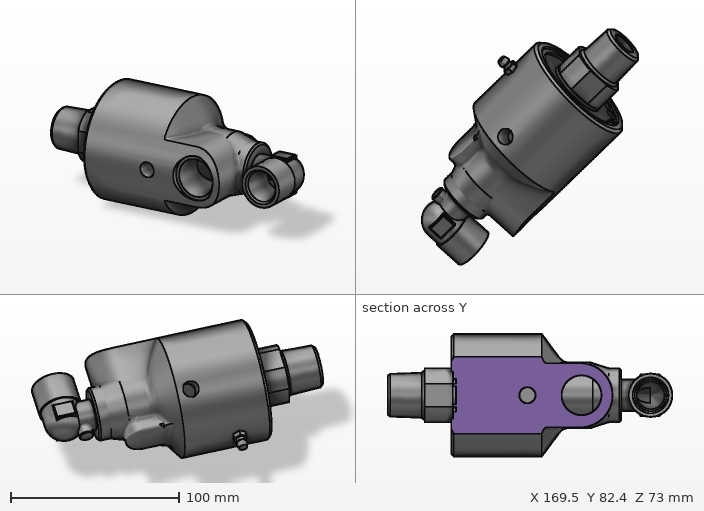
import cadquery as cq


body_start = 37.8
body_end = 91.7
body_diameter = 73.0
body_radius = body_diameter / 2
body_chamfer = 1.7
beyond_body = body_radius + 1.7
boss_root_x = body_end - 1.7

cone_end = 104.3
neck_radius = 19.7
neck_end = 120.7
collar_start = 131.7
collar_radius = 16.1
collar_end = 139.0
collar_chamfer = 1.2
cone_fillet = 5.8

stem_tip_radius = 11.5
stem_tip_chamfer = 1.7
stem_start_radius = 12.9
stem_end_radius = 13.5
stem_end = 20.3
shank_start = 22.0
shank_base_radius = 15.0
shank_radius = 17.5
shank_collar_radius = 17.6
shank_across_flats = 32.2
flats_end = 38.7
stem_bore_diameter = 13.9
stem_bore_chamfer = 0.3

recess_mouth_radius = 31.7
recess_floor = 40.7
ring_face = 39.0
ring_outer_radius = 31.2
ring_inner_radius = 28.1
lug_radius = 3.2
lug_offset_y = 28.3
lug_offset_z = 8.3
lug_hole_diameter = 2.7

weep_hole_x = 83.2
weep_hole_diameter = 9.5
weep_hole_depth = 17.0
weep_hole_count = 3

port_x = 114.8
port_boss_radius = 19.2
port_boss_fillet = 2.4
port_hole_x = 115.5
spotface_diameter = 27.8
spotface_plane = 33.0
port_diameter = 23.5
rotor_radius = 12.9
rotor_end = 122.0
rotor_tip_radius = 11.9
rear_boss_radius = 10.2
rear_boss_height = 25.6
rear_boss_fillet = 4.7
rear_boss_edge = 1.9
rim_land = 0.02
rear_boss_edge_start = 101.7

grease_x = 58.3
overall_depth = 82.4
grease_tip = overall_depth - body_radius
grease_hex_corners = 8.6
grease_hex_top = 39.5
grease_hex_length = 3.4
grease_tip_radius = 2.5
grease_head_radius = 3.2
grease_neck_radius = 2.7
grease_taper_length = 2.5
grease_band_length = 1.0
grease_shoulder_length = 0.7

pipe_diameter = 19.0
overall_length = 169.5
socket_diameter = 26.0
elbow_x = overall_length - socket_diameter / 2
elbow_radius = 12.0
socket_start = 8.3
socket_end = 26.1
socket_mouth_diameter = 21.4
socket_bore_diameter = 19.0
socket_floor_diameter = 16.6
socket_bore_floor = 5.1
cross_bore_diameter = 10.7
cross_bore_gap = 0.2
pad_length = 12.4
pad_width = 9.8
pad_x = elbow_x - 0.3
pad_height = 12.4
pad_chamfer = 0.7
stud_x = 146.3
stud_diameter = 8.6
stud_top = 14.2
stud_chamfer = 0.5
stud_fillet = 1.5


select_margin = 0.2


def x_cylinder(radius, start, end):
    return cq.Workplane("YZ").workplane(offset=start).circle(radius).extrude(end - start)


def y_cylinder(radius, x, start, end):
    return cq.Workplane("XZ", origin=(x, start, 0)).circle(radius).extrude(start - end)


def revolve_about_x(points):
    """Turn (X, radius) points about the X axis."""
    return cq.Workplane("XY").polyline(points).close().revolve(360, (0, 0, 0), (1, 0, 0))


def revolve_about_y(center_x, points):
    """Turn (radius, Y) points about the line through center_x parallel to Y."""
    profile = cq.Workplane("XY").polyline(points).close()
    return profile.revolve(360, (0, 0, 0), (0, 1, 0)).translate((center_x, 0, 0))


def make_stadium(radius, start_y, end_y, start_x=boss_root_x):
    """Bar running in X from inside the body to a round end about the port axis."""
    return (
        cq.Workplane("XZ", origin=(0, start_y, 0))
        .moveTo(start_x, -radius)
        .lineTo(port_x, -radius)
        .threePointArc((port_x + radius, 0), (port_x, radius))
        .lineTo(start_x, radius)
        .close()
        .extrude(start_y - end_y)
    )


def make_housing():
    housing = revolve_about_x([
        (body_start, 0),
        (body_start, body_radius - body_chamfer),
        (body_start + body_chamfer, body_radius),
        (body_end, body_radius),
        (cone_end, neck_radius),
        (neck_end, neck_radius),
        (collar_start, collar_radius),
        (collar_end - collar_chamfer, collar_radius),
        (collar_end, collar_radius - collar_chamfer),
        (collar_end, 0),
    ])
    at_neck = cq.selectors.BoxSelector(
        (cone_end - select_margin, -body_radius, -body_radius),
        (cone_end + select_margin, body_radius, body_radius),
    )
    housing = housing.edges(at_neck).fillet(cone_fillet)

    port_boss = make_stadium(port_boss_radius, 0, -beyond_body)
    port_boss = port_boss.intersect(x_cylinder(body_radius, body_start, collar_end))
    housing = housing.union(port_boss)

    port_root = cq.selectors.BoxSelector(
        (body_end + select_margin, -spotface_plane + port_boss_fillet, -neck_radius),
        (collar_end, -select_margin, neck_radius),
    )
    housing = housing.edges(port_root).edges("not |Y").fillet(port_boss_fillet)

    rear_boss = make_stadium(rear_boss_radius, rear_boss_height, 0)
    housing = housing.union(rear_boss)
    rear_root_sides = cq.selectors.BoxSelector(
        (body_end + select_margin, rear_boss_radius + rear_boss_fillet, -neck_radius),
        (collar_start, rear_boss_height - select_margin, neck_radius),
    )
    rear_root_top = cq.selectors.BoxSelector(
        (body_end + select_margin, rear_boss_height - select_margin, -select_margin),
        (cone_end, rear_boss_height + select_margin, select_margin),
    )
    rear_root = housing.edges(rear_root_sides).edges("not |Y").add(housing.edges(rear_root_top))
    housing = rear_root.fillet(rear_boss_fillet)
    return housing.cut(make_rear_rim_waste())


def make_rear_rim_waste():
    """Material outside the rounded rim on top of the rear boss."""
    rim_bottom = rear_boss_height - rear_boss_edge
    plate = make_stadium(rear_boss_radius, rear_boss_height, rim_bottom, rear_boss_edge_start)
    rim = plate.faces(">Y").edges("not |Z").fillet(rear_boss_edge - rim_land)
    return plate.cut(rim)


def make_stem():
    stem = revolve_about_x([
        (0, 0),
        (0, stem_tip_radius),
        (stem_tip_chamfer, stem_start_radius),
        (stem_end, stem_end_radius),
        (shank_start, shank_base_radius),
        (shank_start, 0),
    ])
    shank = x_cylinder(shank_radius, shank_start, flats_end)
    shank_collar = x_cylinder(shank_collar_radius, flats_end, recess_floor)
    flats = cq.Workplane("YZ", origin=(shank_start, 0, 0))
    flats = flats.rect(body_diameter, body_diameter)
    flats = flats.rect(shank_across_flats, shank_across_flats).extrude(flats_end - shank_start)
    return stem.union(shank.cut(flats)).union(shank_collar)


def make_snap_ring():
    """Open retaining ring with two drilled lugs beside its gap on the -Y side."""
    thickness = recess_floor - ring_face
    ring = cq.Workplane("YZ", origin=(ring_face, 0, 0))
    ring = ring.circle(ring_outer_radius).circle(ring_inner_radius).extrude(thickness)
    gap_height = 2 * lug_offset_z
    gap = cq.Workplane("YZ", origin=(ring_face, -ring_outer_radius, 0))
    gap = gap.rect(ring_outer_radius, gap_height).extrude(thickness)
    ring = ring.cut(gap)
    lug_spots = [(-lug_offset_y, side * lug_offset_z) for side in (-1, 1)]
    lugs = cq.Workplane("YZ", origin=(ring_face, 0, 0)).pushPoints(lug_spots)
    lugs = lugs.circle(lug_radius).extrude(thickness)
    lug_tips = cq.Workplane("YZ", origin=(ring_face, 0, 0))
    lug_tips = lug_tips.pushPoints([(y - lug_radius / 2, z) for y, z in lug_spots])
    lug_tips = lug_tips.rect(lug_radius, 2 * lug_radius).extrude(thickness)
    lugs = lugs.union(lug_tips).intersect(x_cylinder(ring_outer_radius, ring_face, recess_floor))
    holes = cq.Workplane("YZ", origin=(ring_face, 0, 0)).pushPoints(lug_spots)
    holes = holes.circle(lug_hole_diameter / 2).extrude(thickness)
    return ring.union(lugs).cut(holes)


def make_weep_holes():
    """Radial blind holes spaced evenly about the X axis, the first on the -Y side."""
    hole = y_cylinder(weep_hole_diameter / 2, weep_hole_x, -beyond_body, weep_hole_depth - body_radius)
    holes = cq.Workplane("XY")
    for index in range(weep_hole_count):
        turn = index * 360 / weep_hole_count
        holes = holes.add(hole.rotate((0, 0, 0), (1, 0, 0), turn))
    return holes.combine()


def make_port_cut():
    """Port bored to the X axis with the round end of the rotor standing across it."""
    spotface = y_cylinder(spotface_diameter / 2, port_hole_x, -beyond_body, -spotface_plane)
    bore = y_cylinder(port_diameter / 2, port_hole_x, -spotface_plane, 0)
    rotor = x_cylinder(rotor_radius, body_end, rotor_end)
    rotor_tip = x_cylinder(rotor_tip_radius, rotor_end, collar_start)
    return spotface.union(bore.cut(rotor).cut(rotor_tip))


def make_grease_nipple():
    hexagon = cq.Workplane("XZ", origin=(grease_x, grease_hex_top, 0)).transformed(rotate=(0, 0, 90))
    hexagon = hexagon.polygon(6, grease_hex_corners).extrude(grease_hex_length)
    band_top = grease_tip - grease_taper_length
    band_bottom = band_top - grease_band_length
    neck_top = band_bottom - grease_shoulder_length
    head = revolve_about_y(grease_x, [
        (0, grease_tip),
        (grease_tip_radius, grease_tip),
        (grease_head_radius, band_top),
        (grease_head_radius, band_bottom),
        (grease_neck_radius, neck_top),
        (grease_neck_radius, grease_hex_top),
        (0, grease_hex_top),
    ])
    return hexagon.union(head)


def make_elbow():
    pipe = x_cylinder(pipe_diameter / 2, collar_start, elbow_x)
    ball = cq.Workplane("XY").sphere(elbow_radius).translate((elbow_x, 0, 0))
    barrel = y_cylinder(elbow_radius, elbow_x, 0, -socket_start)
    socket = y_cylinder(socket_diameter / 2, elbow_x, -socket_end, -socket_start)
    stud = y_cylinder(stud_diameter / 2, stud_x, 0, stud_top).faces(">Y").chamfer(stud_chamfer)
    pads = cq.Workplane("XY", origin=(pad_x, 0, 0)).box(pad_length, pad_width, 2 * pad_height)
    pads = pads.edges("|X or |Y").chamfer(pad_chamfer)
    stud_root = cq.selectors.BoxSelector(
        (stud_x - stud_diameter, stud_diameter / 2, -stud_diameter),
        (stud_x + stud_diameter, pipe_diameter / 2 + select_margin, stud_diameter),
    )
    pipe = pipe.union(stud)
    pipe = pipe.edges(stud_root).edges("not |Y").fillet(stud_fillet)
    elbow = pipe.union(ball).union(barrel).union(socket).union(pads)

    mouth_radius = socket_mouth_diameter / 2
    bore_radius = socket_bore_diameter / 2
    socket_bore = revolve_about_y(elbow_x, [
        (0, -socket_end),
        (mouth_radius, -socket_end),
        (bore_radius, mouth_radius - bore_radius - socket_end),
        (socket_floor_diameter / 2, -socket_bore_floor),
        (0, 0),
    ])
    cross_bore = x_cylinder(cross_bore_diameter / 2, collar_end, elbow_x - cross_bore_gap)
    return elbow.cut(socket_bore).cut(cross_bore)


def make_recess():
    """Front recess whose mouth tapers in to the outside of the snap ring."""
    return revolve_about_x([
        (body_start, 0),
        (body_start, recess_mouth_radius),
        (ring_face, ring_outer_radius),
        (recess_floor, ring_outer_radius),
        (recess_floor, 0),
    ])


def make_stem_bore():
    bore_radius = stem_bore_diameter / 2
    return revolve_about_x([
        (0, 0),
        (0, bore_radius + stem_bore_chamfer),
        (stem_bore_chamfer, bore_radius),
        (port_x, bore_radius),
        (port_x, 0),
    ])


housing = make_housing().cut(make_recess()).cut(make_weep_holes()).cut(make_port_cut())
result = (
    housing
    .union(make_stem())
    .union(make_snap_ring())
    .union(make_grease_nipple())
    .union(make_elbow())
    .cut(make_stem_bore())
)